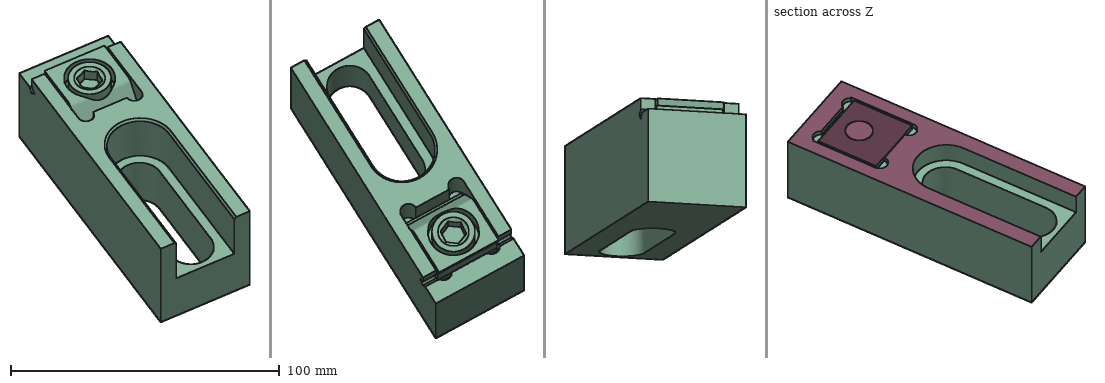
import cadquery as cq
import math

LENGTH = 106.7
WIDTH = 38.1
HEIGHT = 41.0

LEDGE_LENGTH = 7.8
LEDGE_DROP = 5.8
LUG_FRONT = 9.4
GROOVE_DROP = 7.9
GROOVE_ROOT_X = 11.4
GROOVE_ROOT_DROP = 6.1
LUG_FACE_DROP = 4.3

POCKET_BACK = 34.9
POCKET_HALF_WIDTH = 13.4
POCKET_DEPTH = 13.9
RELIEF_RADIUS = 3.1
RELIEF_FRONT_X = 9.3
RELIEF_BACK_X = 34.9
RELIEF_Y = POCKET_HALF_WIDTH - RELIEF_RADIUS

WIDE_SLOT_RADIUS = 12.4
SLOT_CHAMFER = 0.9
WIDE_SLOT_CENTER_X = 57.6
WIDE_SLOT_DEPTH = 20.1
THROUGH_SLOT_RADIUS = 8.5
THROUGH_SLOT_START = 48.6
THROUGH_SLOT_END = 104.3

JAW_WIDTH = 25.6
JAW_NOSE_X = 8.1
JAW_LIP_X = 8.6
JAW_LIP_DROP = 2.6
JAW_TOP_BACK = 25.7
JAW_BACK = 33.0
JAW_HEIGHT = 10.7
WEDGE_ANGLE = math.radians(53)
WEDGE_ROUND_RADIUS = 2.9

SEAT_LIP_RADIUS = 2.1
SEAT_LIP_ANGLE = math.radians(30)

SCREW_X = 19.5
HEAD_RADIUS = 8.0
HEAD_HEIGHT = 6.4
COUNTERBORE_RADIUS = 9.5
SHANK_RADIUS = 5.0
SCREW_LENGTH = 29.9
SOCKET_RIM_RADIUS = 5.8
SOCKET_CORNER_RADIUS = 4.8
SOCKET_CONE_ANGLE = math.radians(30)
SOCKET_DEPTH = 5.4
SOCKET_TURN = -6.0


def screw_cylinder(radius, depth_from_top):
    """Cylinder on the screw axis, from the top plane downward."""
    return (
        cq.Workplane("XY", origin=(SCREW_X, 0, HEIGHT - depth_from_top))
        .circle(radius)
        .extrude(depth_from_top)
    )


def extrude_across(profile, width):
    """Extrude an XZ profile symmetrically across Y."""
    return profile.close().extrude(width / 2, both=True)


def make_wide_slot():
    """Round-fronted slot, open at the back end of the housing."""
    straight = LENGTH - WIDE_SLOT_CENTER_X
    return (
        cq.Workplane("XY", origin=(WIDE_SLOT_CENTER_X, 0, HEIGHT - WIDE_SLOT_DEPTH))
        .moveTo(0, WIDE_SLOT_RADIUS)
        .lineTo(straight, WIDE_SLOT_RADIUS)
        .lineTo(straight, -WIDE_SLOT_RADIUS)
        .lineTo(0, -WIDE_SLOT_RADIUS)
        .threePointArc((-WIDE_SLOT_RADIUS, 0), (0, WIDE_SLOT_RADIUS))
        .close()
        .extrude(WIDE_SLOT_DEPTH)
    )


def make_slot_chamfer():
    """Bevelled rim along the wide slot: a cone at the round front and a trapezoid along the straight."""
    rim_radius = WIDE_SLOT_RADIUS + SLOT_CHAMFER
    bottom = HEIGHT - SLOT_CHAMFER
    cone = cq.Workplane(
        cq.Solid.makeCone(
            WIDE_SLOT_RADIUS, rim_radius, SLOT_CHAMFER, pnt=cq.Vector(WIDE_SLOT_CENTER_X, 0, bottom)
        )
    )
    straight = (
        cq.Workplane("YZ", origin=(WIDE_SLOT_CENTER_X, 0, 0))
        .moveTo(-WIDE_SLOT_RADIUS, bottom)
        .lineTo(WIDE_SLOT_RADIUS, bottom)
        .lineTo(rim_radius, HEIGHT)
        .lineTo(-rim_radius, HEIGHT)
        .close()
        .extrude(LENGTH - WIDE_SLOT_CENTER_X)
    )
    return cone.union(straight)


def make_pocket_cutter():
    """Clamp pocket with a round relief at each corner."""
    floor = HEIGHT - POCKET_DEPTH
    pocket_length = POCKET_BACK - LEDGE_LENGTH
    pocket = (
        cq.Workplane("XY", origin=(LEDGE_LENGTH, 0, floor))
        .rect(pocket_length, 2 * POCKET_HALF_WIDTH)
        .extrude(POCKET_DEPTH)
        .translate((pocket_length / 2, 0, 0))
    )
    reliefs = (
        cq.Workplane("XY", origin=(0, 0, floor))
        .pushPoints([(x, y) for x in (RELIEF_FRONT_X, RELIEF_BACK_X) for y in (-RELIEF_Y, RELIEF_Y)])
        .circle(RELIEF_RADIUS)
        .extrude(POCKET_DEPTH)
    )
    return pocket.union(reliefs)


def make_housing():
    outline = (
        cq.Workplane("XZ")
        .moveTo(0, 0)
        .lineTo(LENGTH, 0)
        .lineTo(LENGTH, HEIGHT)
        .lineTo(LUG_FRONT, HEIGHT)
        .lineTo(LUG_FRONT, HEIGHT - LUG_FACE_DROP)
        .lineTo(GROOVE_ROOT_X, HEIGHT - GROOVE_ROOT_DROP)
        .lineTo(LUG_FRONT, HEIGHT - GROOVE_DROP)
        .lineTo(LEDGE_LENGTH, HEIGHT - LEDGE_DROP)
        .lineTo(0, HEIGHT - LEDGE_DROP)
    )
    through_length = THROUGH_SLOT_END - THROUGH_SLOT_START
    through_slot = (
        cq.Workplane("XY", origin=((THROUGH_SLOT_START + THROUGH_SLOT_END) / 2, 0, 0))
        .slot2D(through_length, 2 * THROUGH_SLOT_RADIUS)
        .extrude(HEIGHT)
    )
    return (
        extrude_across(outline, WIDTH)
        .cut(make_pocket_cutter())
        .cut(make_wide_slot())
        .cut(make_slot_chamfer())
        .cut(through_slot)
        .cut(screw_cylinder(SHANK_RADIUS, SCREW_LENGTH))
    )


def make_jaw():
    def wedge_round_point(angle):
        x = JAW_TOP_BACK + WEDGE_ROUND_RADIUS * math.sin(angle)
        z = HEIGHT - WEDGE_ROUND_RADIUS * (1 - math.cos(angle))
        return x, z

    round_end = wedge_round_point(WEDGE_ANGLE)
    wedge_end_z = round_end[1] - (JAW_BACK - round_end[0]) * math.tan(WEDGE_ANGLE)
    lip_z = HEIGHT - JAW_LIP_DROP
    profile = (
        cq.Workplane("XZ")
        .moveTo(JAW_NOSE_X, HEIGHT)
        .lineTo(JAW_TOP_BACK, HEIGHT)
        .threePointArc(wedge_round_point(WEDGE_ANGLE / 2), round_end)
        .lineTo(JAW_BACK, wedge_end_z)
        .lineTo(JAW_BACK, HEIGHT - JAW_HEIGHT)
        .lineTo(LUG_FRONT, HEIGHT - JAW_HEIGHT)
        .lineTo(LUG_FRONT, lip_z)
        .lineTo(JAW_LIP_X, lip_z)
    )
    return (
        extrude_across(profile, JAW_WIDTH)
        .cut(screw_cylinder(COUNTERBORE_RADIUS, HEAD_HEIGHT))
        .cut(screw_cylinder(SHANK_RADIUS, SCREW_LENGTH))
    )


def make_seat():
    """Plate on the pocket floor with a concave lip rising at the pocket's back wall."""
    top = HEIGHT - JAW_HEIGHT
    floor = HEIGHT - POCKET_DEPTH
    lip_start_x = POCKET_BACK - SEAT_LIP_RADIUS * math.sin(SEAT_LIP_ANGLE)

    def lip_point(angle):
        return (
            lip_start_x + SEAT_LIP_RADIUS * math.sin(angle),
            top + SEAT_LIP_RADIUS * (1 - math.cos(angle)),
        )

    profile = (
        cq.Workplane("XZ")
        .moveTo(LUG_FRONT, floor)
        .lineTo(POCKET_BACK, floor)
        .lineTo(*lip_point(SEAT_LIP_ANGLE))
        .threePointArc(lip_point(SEAT_LIP_ANGLE / 2), (lip_start_x, top))
        .lineTo(LUG_FRONT, top)
    )
    return extrude_across(profile, JAW_WIDTH).cut(screw_cylinder(SHANK_RADIUS, SCREW_LENGTH))


def make_screw():
    hexagon = (
        cq.Workplane("XY")
        .polygon(6, 2 * SOCKET_CORNER_RADIUS)
        .extrude(SOCKET_DEPTH)
        .rotate((0, 0, 0), (0, 0, 1), SOCKET_TURN)
        .translate((SCREW_X, 0, HEIGHT - SOCKET_DEPTH))
    )
    cone_height = SOCKET_RIM_RADIUS * math.tan(SOCKET_CONE_ANGLE)
    rim_cone = cq.Workplane(
        cq.Solid.makeCone(
            SOCKET_RIM_RADIUS, 0, cone_height, pnt=cq.Vector(SCREW_X, 0, HEIGHT), dir=cq.Vector(0, 0, -1)
        )
    )
    return (
        screw_cylinder(HEAD_RADIUS, HEAD_HEIGHT)
        .union(screw_cylinder(SHANK_RADIUS, SCREW_LENGTH))
        .cut(hexagon)
        .cut(rim_cone)
    )


housing = make_housing()
jaw = make_jaw()
seat = make_seat()
screw = make_screw()

result = cq.Compound.makeCompound([housing.val(), jaw.val(), seat.val(), screw.val()])